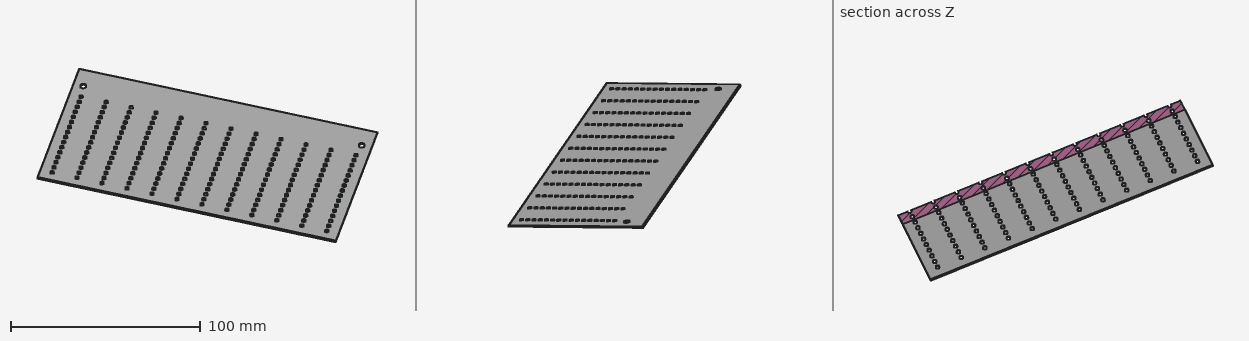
import cadquery as cq

plate_length = 164.8
plate_width = 75.8
plate_thickness = 1.0
edge_chamfer = plate_thickness / 2
tilt_angle = 9.1

grid_hole_diameter = 2.0
column_count = 12
row_count = 16
grid_length = 151.8
grid_width = 52.4
grid_front_margin = 5.5
column_pitch = grid_length / (column_count - 1)
row_pitch = grid_width / (row_count - 1)
grid_center_y = -plate_width / 2 + grid_front_margin + grid_width / 2

mount_hole_diameter = 3.1
mount_spacing = 153.8
mount_back_margin = 10.9
mount_y = plate_width / 2 - mount_back_margin


def flat_plate():
    plate = cq.Workplane("XY").box(plate_length, plate_width, plate_thickness)
    return plate.edges("|X and >Z").chamfer(edge_chamfer)


def grid_cutters():
    return (
        cq.Workplane("XY")
        .center(0, grid_center_y)
        .rarray(column_pitch, row_pitch, column_count, row_count)
        .circle(grid_hole_diameter / 2)
        .extrude(plate_thickness, both=True)
    )


def mount_cutters():
    return (
        cq.Workplane("XY")
        .pushPoints([(-mount_spacing / 2, mount_y), (mount_spacing / 2, mount_y)])
        .circle(mount_hole_diameter / 2)
        .extrude(plate_thickness, both=True)
    )


drilled_plate = flat_plate().cut(grid_cutters()).cut(mount_cutters())
result = drilled_plate.rotate((0, 0, 0), (1, 0, 0), tilt_angle)